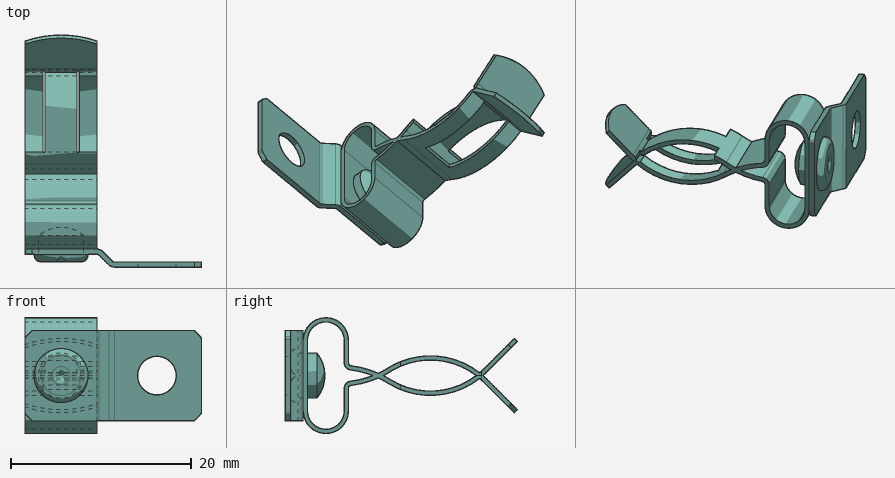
import cadquery as cq
import math


clip_width = 8.0
clip_thickness = 0.5
loop_radius = 2.25
loop_straight_top = 3.9
neck_top = 1.45
neck_bend_radius = 0.6
neck_exit_angle = 7
throat_radius = 10.38
throat_angle = 32
jaw_radius = 8.58
lip_angle = 45
lip_length = 4.78
lip_end_radius = 8.8

finger_start = 10.75
finger_end = 19.7
outer_finger_width = 2.0
finger_gap = 0.2

bracket_length = 19.53
bracket_height = 10.0
bracket_thickness = 0.6
bracket_bend_radius = 0.6
bracket_bend_angle = 45
bracket_offset = 1.41
bracket_chamfer = 0.8
bracket_corner_radius = 0.4
mount_hole_diameter = 4.25
mount_hole_x = 14.6

rivet_x = clip_width / 2
head_diameter = 6.0
head_height = 0.82
head_edge_radius = 0.77
dimple_radius = 1.0
shank_diameter = 5.0
shank_end = 1.52
dome_height = 0.9


def trace(start, heading, moves, offset):
    """Follow straight and bent stretches at a sideways offset (positive to the left).

    Each move is (length, None) for a straight or (radius, turn) for a bend, left turns
    positive, in degrees. Returns the first point and, for each move, (middle point, end point),
    with no middle point for a straight.
    """

    def beside(point, angle, distance):
        return (point[0] - distance * math.sin(angle), point[1] + distance * math.cos(angle))

    point = start
    angle = math.radians(heading)
    first = beside(point, angle, offset)
    stretches = []
    for size, turn in moves:
        if turn is None:
            point = (point[0] + size * math.cos(angle), point[1] + size * math.sin(angle))
            stretches.append((None, beside(point, angle, offset)))
            continue
        radius = math.copysign(size, turn)
        center = beside(point, angle, radius)
        middle_angle = angle + math.radians(turn) / 2
        angle += math.radians(turn)
        middle = beside(center, middle_angle, offset - radius)
        point = beside(center, angle, -radius)
        stretches.append((middle, beside(point, angle, offset)))
    return first, stretches


def bent_strip(plane, start, heading, moves, thickness):
    """Closed outline of a bent sheet of constant thickness along the given path."""
    first, left = trace(start, heading, moves, thickness / 2)
    right_first, right = trace(start, heading, moves, -thickness / 2)
    outline = cq.Workplane(plane).moveTo(*first)
    for middle, end in left:
        outline = outline.threePointArc(middle, end) if middle else outline.lineTo(*end)
    outline = outline.lineTo(*right[-1][1])
    right_starts = [right_first] + [end for _, end in right[:-1]]
    for (middle, _), begin in zip(reversed(right), reversed(right_starts)):
        outline = outline.threePointArc(middle, begin) if middle else outline.lineTo(*begin)
    return outline.close()


def block(x_range, y_range, z_range):
    """Box between the given limits."""
    corner = (x_range[0], y_range[0], z_range[0])
    sizes = [high - low for low, high in (x_range, y_range, z_range)]
    return cq.Workplane(cq.Plane(origin=corner)).box(*sizes, centered=False)


def shank_cylinder(start_y, end_y):
    """Cylinder of the rivet shank between two Y positions."""
    plane = cq.Plane(origin=(rivet_x, start_y, 0), xDir=(1, 0, 0), normal=(0, 1, 0))
    return cq.Workplane(plane).circle(shank_diameter / 2).extrude(end_y - start_y)


def make_arm():
    """Sheet from the back of the clip round the upper loop, through the lower jaw, to the upper lip."""
    start = (clip_thickness / 2, 0)
    heading = 90
    moves = [
        (loop_straight_top, None),
        (loop_radius, -180),
        (loop_straight_top - neck_top, None),
        (neck_bend_radius, 90 - neck_exit_angle),
        (throat_radius, neck_exit_angle - throat_angle),
        (jaw_radius, throat_angle + lip_angle),
        (lip_length, None),
    ]
    arm = bent_strip("YZ", start, heading, moves, clip_thickness).extrude(clip_width)

    tip_y, tip_z = trace(start, heading, moves, 0)[1][-1][1]
    tilt = math.radians(lip_angle)
    lip_plane = cq.Plane(
        origin=(clip_width / 2, tip_y, tip_z),
        xDir=(1, 0, 0),
        normal=(0, -math.sin(tilt), math.cos(tilt)),
    )
    half_width = clip_width / 2
    end_drop = lip_end_radius - math.sqrt(lip_end_radius**2 - half_width**2)
    waste = (
        cq.Workplane(lip_plane)
        .moveTo(-half_width, -end_drop)
        .threePointArc((0, 0), (half_width, -end_drop))
        .lineTo(half_width, end_drop)
        .lineTo(-half_width, end_drop)
        .close()
        .extrude(clip_thickness, both=True)
    )
    return arm.cut(waste)


def make_clip():
    arm = make_arm()
    clip = arm.union(arm.mirror("XY"))

    finger_span = (finger_start, finger_end)
    upper_side = (0, loop_straight_top)
    lower_side = (-loop_straight_top, 0)
    outer_cut_width = outer_finger_width + finger_gap
    clip = clip.cut(block((0, outer_cut_width), finger_span, upper_side))
    clip = clip.cut(block((clip_width - outer_cut_width, clip_width), finger_span, upper_side))
    middle_range = (outer_finger_width, clip_width - outer_finger_width)
    clip = clip.cut(block(middle_range, finger_span, lower_side))
    return clip.cut(shank_cylinder(0, clip_thickness))


def make_bracket():
    turn = math.radians(bracket_bend_angle)
    bend_run = 2 * bracket_bend_radius * math.sin(turn)
    slope_drop = bracket_offset - 2 * bracket_bend_radius * (1 - math.cos(turn))
    slope_run = slope_drop / math.tan(turn)
    mount_length = bracket_length - clip_width - bend_run - slope_run
    moves = [
        (clip_width, None),
        (bracket_bend_radius, -bracket_bend_angle),
        (slope_drop / math.sin(turn), None),
        (bracket_bend_radius, bracket_bend_angle),
        (mount_length, None),
    ]
    bracket = (
        bent_strip("XY", (0, -bracket_thickness / 2), 0, moves, bracket_thickness)
        .extrude(bracket_height / 2, both=True)
        .edges("|Y and (<X or >X)")
        .chamfer(bracket_chamfer)
        .edges("|Y and (<X or >X)")
        .fillet(bracket_corner_radius)
    )
    mount_hole = (
        cq.Workplane("XZ", origin=(mount_hole_x, 0, 0))
        .circle(mount_hole_diameter / 2)
        .extrude(bracket_offset + bracket_thickness)
    )
    return bracket.cut(mount_hole).cut(shank_cylinder(-bracket_thickness, 0))


def make_rivet():
    """Turned profile: dimpled head in front of the bracket, domed shank behind the clip."""
    head_back = -bracket_thickness
    head_front = head_back - head_height
    head_radius = head_diameter / 2
    shank_radius = shank_diameter / 2
    mid_arc = 1 - math.sqrt(0.5)
    edge_inset = head_edge_radius * mid_arc
    dimple_inset = dimple_radius * mid_arc
    dome_radius = (shank_radius**2 + dome_height**2) / (2 * dome_height)
    dome_center = shank_end + dome_height - dome_radius
    half_dome_angle = math.asin(shank_radius / dome_radius) / 2
    dome_middle = (
        dome_radius * math.sin(half_dome_angle),
        dome_center + dome_radius * math.cos(half_dome_angle),
    )
    return (
        cq.Workplane("XY", origin=(rivet_x, 0, 0))
        .moveTo(0, head_front + dimple_radius)
        .threePointArc((dimple_inset, head_front + dimple_inset), (dimple_radius, head_front))
        .lineTo(head_radius - head_edge_radius, head_front)
        .threePointArc(
            (head_radius - edge_inset, head_front + edge_inset),
            (head_radius, head_front + head_edge_radius),
        )
        .lineTo(head_radius, head_back)
        .lineTo(shank_radius, head_back)
        .lineTo(shank_radius, shank_end)
        .threePointArc(dome_middle, (0, shank_end + dome_height))
        .close()
        .revolve(360, (0, 0, 0), (0, 1, 0))
    )


clip = make_clip()
bracket = make_bracket()
rivet = make_rivet()

result = cq.Compound.makeCompound([clip.val(), bracket.val(), rivet.val()])